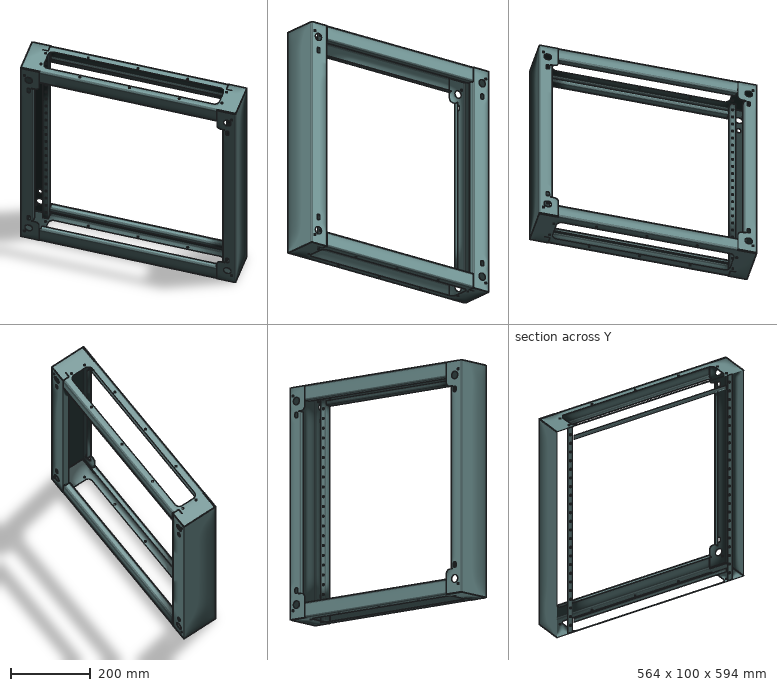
import cadquery as cq
import math

WIDTH = 564.0
DEPTH = 100.0
HEIGHT = 594.0
SHEET = 1.5

FRONT_LIP = 14.0
REAR_LIP = 20.0
POST_RETURN_LIP = 15.0
PAN_RETURN_LIP = 12.0
POST_BEND = 2.5
PAN_BEND = 4.0

FRONT_FLANGE = 34.5
REAR_FLANGE = 49.5
POST_HEIGHT = HEIGHT - 2 * SHEET
TAB_HEIGHT = 63.5
TAB_ROUND = 10.5
RELIEF_HEIGHT = 2.0
RELIEF_START = 29.0

BIG_HOLE_DIAMETER = 19.5
BIG_HOLE_SIDE = 22.0
BIG_HOLE_END = 37.5
SLOT_WIDTH = 9.5
SLOT_LENGTH = 15.0
SLOT_END = 73.0
SMALL_HOLE_DIAMETER = 5.5
SMALL_HOLE_SIDE = 10.5
SMALL_HOLE_END = 23.0

RAIL_HOLE_COUNT = 23
RAIL_HOLE_PITCH = 25.0
RAIL_HOLE_DIAMETER = 5.5
RAIL_HOLE_SIDE = 43.0

PAN_HEIGHT = 40.5
PAN_GAP = 0.5
PAN_SPAN = WIDTH - 2 * (REAR_FLANGE + PAN_GAP)
PLATE_INSET = 1.0
PLATE_CORNER = 3.5
LIP_SETBACK = 3.0
OPENING_SIDE = 52.0
OPENING_EDGE = REAR_LIP
OPENING_ROUND = 12.5
PAN_HOLE_DIAMETER = 5.0
PAN_HOLE_PITCH = 130.0
PAN_HOLE_OFFSET = 36.0
END_HOLE_SIDE = 45.0
END_HOLE_OFFSET = 20.0


def unit(start, end):
    length = math.dist(start, end)
    return ((end[0] - start[0]) / length, (end[1] - start[1]) / length)


def inner_corners(corners, turn):
    """Corners of the inner sheet face; turn is 1 for left-hand folds and -1 for right-hand folds."""
    runs = [unit(a, b) for a, b in zip(corners, corners[1:])]
    normals = [(-turn * run[1], turn * run[0]) for run in runs]
    inner = []
    for index, (u, v) in enumerate(corners):
        beside = {max(index - 1, 0), min(index, len(normals) - 1)}
        u += SHEET * sum(normals[i][0] for i in beside)
        v += SHEET * sum(normals[i][1] for i in beside)
        inner.append((u, v))
    return inner


def rounded_run(sketch, corners, radius):
    """Draw straight runs through the corners, each square corner rounded by an arc."""
    for before, corner, after in zip(corners, corners[1:], corners[2:]):
        arriving = unit(before, corner)
        leaving = unit(corner, after)
        setback = radius * (1 - math.sqrt(0.5))
        start = (corner[0] - radius * arriving[0], corner[1] - radius * arriving[1])
        middle = (
            corner[0] + setback * (leaving[0] - arriving[0]),
            corner[1] + setback * (leaving[1] - arriving[1]),
        )
        end = (corner[0] + radius * leaving[0], corner[1] + radius * leaving[1])
        sketch = sketch.lineTo(*start).threePointArc(middle, end)
    return sketch.lineTo(*corners[-1])


def folded_sheet(plane, corners, turn, bend, length):
    """Extrude a folded sheet, centred along its length, from the corners of its outer face."""
    inner = inner_corners(corners, turn)[::-1]
    sketch = cq.Workplane(plane).moveTo(*corners[0])
    sketch = rounded_run(sketch, corners, bend)
    sketch = sketch.lineTo(*inner[0])
    sketch = rounded_run(sketch, inner, bend - SHEET)
    return sketch.close().extrude(length / 2, both=True)


def block(x_range, y_range, z_range):
    sizes = [high - low for low, high in (x_range, y_range, z_range)]
    corner = (x_range[0], y_range[0], z_range[0])
    return cq.Workplane(cq.Solid.makeBox(*sizes, cq.Vector(*corner)))


def front_drill(points):
    """Front-plane workplane whose extrusions run from the front face towards the rear."""
    return cq.Workplane("XZ").pushPoints(points)


def post_profile():
    left = -WIDTH / 2
    return [
        (left + FRONT_FLANGE, FRONT_LIP),
        (left + FRONT_FLANGE, 0),
        (left, 0),
        (left, DEPTH),
        (left + REAR_FLANGE, DEPTH),
        (left + REAR_FLANGE, DEPTH - REAR_LIP),
        (left + REAR_FLANGE - POST_RETURN_LIP, DEPTH - REAR_LIP),
    ]


def corner_tab(end):
    """Wide tab of the front flange at the top (end = 1) or bottom (end = -1) of the left post."""
    tab_start = HEIGHT / 2 - TAB_HEIGHT
    tab = block(
        (RELIEF_START - WIDTH / 2, REAR_FLANGE - WIDTH / 2),
        (0, SHEET),
        (tab_start, POST_HEIGHT / 2),
    )
    tab = tab.edges("|Y and >X and <Z").fillet(TAB_ROUND)
    return tab if end > 0 else tab.mirror("XY")


def lip_relief(end):
    """Space cleared of the front fold beside a corner tab."""
    relief_start = HEIGHT / 2 - TAB_HEIGHT - RELIEF_HEIGHT
    relief = block(
        (RELIEF_START - WIDTH / 2, FRONT_FLANGE - WIDTH / 2),
        (0, FRONT_LIP),
        (relief_start, POST_HEIGHT / 2),
    )
    return relief if end > 0 else relief.mirror("XY")


def corner_holes():
    """Holes through the front and rear flanges at both ends of the left post."""
    side = -WIDTH / 2
    half = HEIGHT / 2
    big = [(side + BIG_HOLE_SIDE, end * (half - BIG_HOLE_END)) for end in (-1, 1)]
    slots = [(side + BIG_HOLE_SIDE, end * (half - SLOT_END)) for end in (-1, 1)]
    small = [(side + SMALL_HOLE_SIDE, end * (half - SMALL_HOLE_END)) for end in (-1, 1)]
    holes = front_drill(big).circle(BIG_HOLE_DIAMETER / 2).extrude(-DEPTH)
    holes = holes.union(front_drill(slots).slot2D(SLOT_LENGTH, SLOT_WIDTH, 90).extrude(-DEPTH))
    return holes.union(front_drill(small).circle(SMALL_HOLE_DIAMETER / 2).extrude(-DEPTH))


def rail_holes():
    """Vertical row of holes through the return lip of the left post."""
    middle = (RAIL_HOLE_COUNT - 1) / 2
    points = [
        (RAIL_HOLE_SIDE - WIDTH / 2, (index - middle) * RAIL_HOLE_PITCH)
        for index in range(RAIL_HOLE_COUNT)
    ]
    drill = front_drill(points).circle(RAIL_HOLE_DIAMETER / 2).extrude(-2 * SHEET)
    return drill.translate((0, DEPTH - REAR_LIP - SHEET / 2, 0))


def side_post():
    """Left side post."""
    post = folded_sheet("XY", post_profile(), -1, POST_BEND, POST_HEIGHT)
    for end in (-1, 1):
        post = post.cut(lip_relief(end)).union(corner_tab(end))
    return post.cut(corner_holes()).cut(rail_holes())


def pan_profile():
    bottom = -HEIGHT / 2
    top = bottom + PAN_HEIGHT
    return [
        (FRONT_LIP, top),
        (0, top),
        (0, bottom),
        (DEPTH, bottom),
        (DEPTH, top),
        (DEPTH - REAR_LIP, top),
        (DEPTH - REAR_LIP, top - PAN_RETURN_LIP),
    ]


def pan_end_plate(side):
    """Flat end of the pan that lies against the left (-1) or right (1) post."""
    plate = block(
        (PLATE_INSET - WIDTH / 2, -PAN_SPAN / 2),
        (PAN_BEND, DEPTH - PLATE_INSET),
        (-HEIGHT / 2, SHEET - HEIGHT / 2),
    )
    plate = plate.edges("|Z and <X").fillet(PLATE_CORNER)
    return plate if side < 0 else plate.mirror("YZ")


def lip_setback(side):
    """Space at one end of the pan where the lips stop short of the flanges."""
    space = block(
        (-PAN_SPAN / 2, LIP_SETBACK - PAN_SPAN / 2),
        (PAN_BEND, DEPTH - PAN_BEND),
        (PAN_BEND - HEIGHT / 2, PAN_HEIGHT - HEIGHT / 2),
    )
    return space if side < 0 else space.mirror("YZ")


def pan_cutouts():
    """Opening and screw holes through the flat of the bottom pan."""
    flat = cq.Workplane("XY", origin=(0, DEPTH / 2, -HEIGHT / 2))
    opening = flat.rect(WIDTH - 2 * OPENING_SIDE, DEPTH - 2 * OPENING_EDGE).extrude(SHEET)
    opening = opening.edges("|Z").fillet(OPENING_ROUND)
    end_hole_x = WIDTH / 2 - END_HOLE_SIDE
    points = [(i * PAN_HOLE_PITCH, j * PAN_HOLE_OFFSET) for i in (-1, 0, 1) for j in (-1, 1)]
    points += [(i * end_hole_x, j * END_HOLE_OFFSET) for i in (-1, 1) for j in (-1, 1)]
    holes = flat.pushPoints(points).circle(PAN_HOLE_DIAMETER / 2).extrude(SHEET)
    return opening.union(holes)


def cross_pan():
    """Bottom cross pan."""
    pan = folded_sheet("YZ", pan_profile(), 1, PAN_BEND, PAN_SPAN)
    for side in (-1, 1):
        pan = pan.cut(lip_setback(side)).union(pan_end_plate(side))
    return pan.cut(pan_cutouts())


left_post = side_post()
right_post = left_post.mirror("YZ")
bottom_pan = cross_pan()
top_pan = bottom_pan.mirror("XY")

result = cq.Compound.makeCompound(
    [left_post.val(), right_post.val(), bottom_pan.val(), top_pan.val()]
)